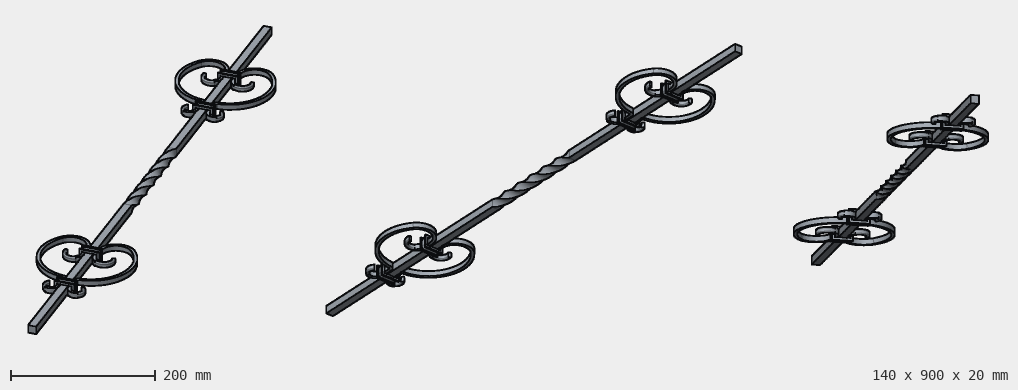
import cadquery as cq
import math

bar_length = 900
bar_diagonal = 17.0
bar_side = bar_diagonal / math.sqrt(2)
twist_length = 169.0
twist_angle = 540

strip_thickness = 5.0
strip_height = 8.0
strip_x = (bar_side + strip_thickness) / 2
tip_edge_radius = 2.0

heart_places = (303.0, -226.0)
overall_width = 140.0
collar_spacing = 95.0

lobe_radius = 25.0
lobe_y = 9.0
flank_radius = 61.0
neck_radius = 4.0
upper_hook_radius = 13.5
upper_tip_start = 240
upper_tip_end = 375
lower_hook_radius = 10.0
lower_tip_start = 300
lower_tip_end = 410

collar_length = 13.0
collar_width = 30.0
collar_height = 20.0
bead_length = 8.0
bead_rise = 1.35
bead_corner_radius = 5.0


def polar(center, radius, degrees):
    angle = math.radians(degrees)
    return (center[0] + radius * math.cos(angle), center[1] + radius * math.sin(angle))


def arc(path, center, radius, start, end):
    """Continue the path round an arc from the start angle to the end angle, in degrees."""
    return path.threePointArc(polar(center, radius, (start + end) / 2), polar(center, radius, end))


def make_bar():
    half_twist = twist_length / 2
    plain_length = bar_length / 2 - half_twist
    front_end = cq.Workplane("XZ", origin=(0, -half_twist, 0))
    front_end = front_end.rect(bar_side, bar_side).extrude(plain_length)
    back_end = cq.Workplane("XZ", origin=(0, bar_length / 2, 0))
    back_end = back_end.rect(bar_side, bar_side).extrude(plain_length)
    twist = cq.Workplane("XZ", origin=(0, half_twist, 0)).rect(bar_side, bar_side)
    twist = twist.twistExtrude(twist_length, twist_angle)
    return twist.union(front_end).union(back_end)


def strip_section_plane(center, radius, degrees):
    """Plane across the strip at an angle round a bend."""
    x, y = polar(center, radius, degrees)
    outward = polar((0, 0), 1, degrees)
    along = polar((0, 0), 1, degrees + 90)
    return cq.Workplane(cq.Plane(origin=(x, y, 0), xDir=(*outward, 0), normal=(*along, 0)))


def hook_tip(center, radius, start, end):
    """Free end of a hook, with its long edges rounded."""
    path = cq.Workplane("XY").moveTo(*polar(center, radius, start))
    path = arc(path, center, radius, start, end)
    section = cq.Sketch().rect(strip_thickness, strip_height).vertices().fillet(tip_edge_radius)
    return strip_section_plane(center, radius, start).placeSketch(section).sweep(path)


def make_scroll():
    """Right-hand scroll: upper hook, lobe, flank, neck and lower hook in one strip."""
    upper_hook = (strip_x + upper_hook_radius, -collar_length / 2)
    lobe = (strip_x + lobe_radius, lobe_y)
    flank_x = (overall_width - strip_thickness) / 2 - flank_radius
    lobe_offset = lobe[0] - flank_x
    lobe_rise = math.sqrt((flank_radius - lobe_radius) ** 2 - lobe_offset**2)
    flank = (flank_x, lobe_y - lobe_rise)
    lobe_end = math.degrees(math.atan2(lobe_rise, lobe_offset))
    neck_offset = strip_x + neck_radius - flank_x
    neck_drop = math.sqrt((flank_radius + neck_radius) ** 2 - neck_offset**2)
    neck = (strip_x + neck_radius, flank[1] - neck_drop)
    flank_end = -math.degrees(math.atan2(neck_drop, neck_offset))
    lower_hook = (strip_x + lower_hook_radius, -collar_spacing - collar_length / 2)

    path = cq.Workplane("XY").moveTo(*polar(upper_hook, upper_hook_radius, upper_tip_start))
    path = arc(path, upper_hook, upper_hook_radius, upper_tip_start, 180)
    path = path.lineTo(strip_x, lobe_y)
    path = arc(path, lobe, lobe_radius, 180, lobe_end)
    path = arc(path, flank, flank_radius, lobe_end, flank_end)
    path = arc(path, neck, neck_radius, flank_end + 180, 180)
    path = path.lineTo(strip_x, lower_hook[1])
    path = arc(path, lower_hook, lower_hook_radius, 180, lower_tip_start)
    section = strip_section_plane(upper_hook, upper_hook_radius, upper_tip_start)
    scroll = section.rect(strip_thickness, strip_height).sweep(path)
    upper_tip = hook_tip(upper_hook, upper_hook_radius, upper_tip_start, upper_tip_end)
    lower_tip = hook_tip(lower_hook, lower_hook_radius, lower_tip_start, lower_tip_end)
    return scroll.union(upper_tip).union(lower_tip)


def make_collar():
    """Two square rims with a domed bead between, opened to fit round the bar and both strips."""
    block = cq.Workplane("XY").box(collar_width, collar_length, collar_height)
    gap = cq.Workplane("XY").box(collar_width, bead_length, collar_height)
    opening = cq.Workplane("XY").box(bar_side + 2 * strip_thickness, collar_length, bar_side)
    return block.cut(gap).union(make_bead()).cut(opening)


def make_bead():
    """Domed band with rounded corners, as high in its middle as the rims."""
    core_width = collar_width - 2 * bead_rise
    core_height = collar_height - 2 * bead_rise
    core_corner_radius = bead_corner_radius - bead_rise
    core = cq.Workplane("XY").box(core_width, bead_length, core_height)
    core = core.edges("|Y").fillet(core_corner_radius)
    outline = core.faces("<Y").wires().val().translate(cq.Vector(0, bead_length / 2, 0))
    corner_start = core_width / 2 - core_corner_radius
    half_bead = bead_length / 2
    dome = cq.Workplane("YZ", origin=(corner_start, 0, core_height / 2)).moveTo(-half_bead, 0)
    dome = dome.threePointArc((0, bead_rise), (half_bead, 0))
    dome = dome.lineTo(half_bead, -bead_rise).lineTo(-half_bead, -bead_rise).close()
    return core.union(dome.sweep(cq.Workplane(outline)))


bar = make_bar()
right_scroll = make_scroll()
left_scroll = right_scroll.mirror("YZ")
collar = make_collar()

bodies = [bar.val()]
for heart_y in heart_places:
    for scroll in (right_scroll, left_scroll):
        bodies.append(scroll.translate((0, heart_y, 0)).val())
    for collar_y in (heart_y, heart_y - collar_spacing):
        bodies.append(collar.translate((0, collar_y, 0)).val())

result = cq.Compound.makeCompound(bodies)